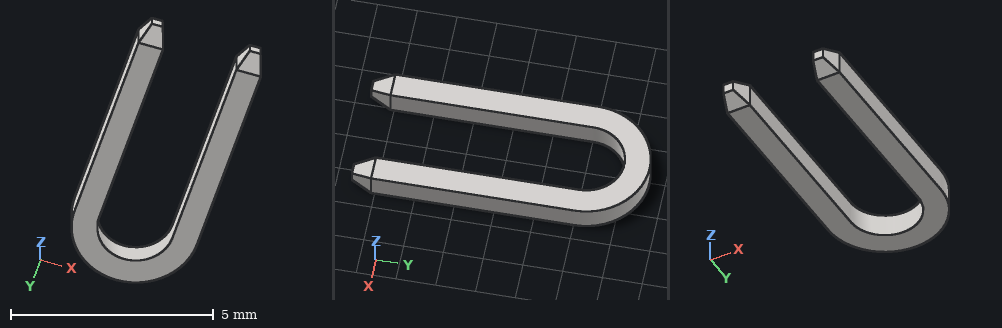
import cadquery as cq

wire = 0.64
pitch = 2.54
total_length = 7.22
taper_length = 0.52
tip_width = 0.28

leg_x = pitch / 2
outer_radius = leg_x + wire / 2
inner_radius = leg_x - wire / 2
leg_length = total_length - outer_radius - taper_length


def make_wire_body():
    """Half-ring bend and both straight legs, centred on Z = 0."""
    return (
        cq.Workplane("XY")
        .workplane(offset=-wire / 2)
        .moveTo(-outer_radius, -leg_length)
        .lineTo(-outer_radius, 0)
        .threePointArc((0, outer_radius), (outer_radius, 0))
        .lineTo(outer_radius, -leg_length)
        .lineTo(inner_radius, -leg_length)
        .lineTo(inner_radius, 0)
        .threePointArc((0, inner_radius), (-inner_radius, 0))
        .lineTo(-inner_radius, -leg_length)
        .close()
        .extrude(wire)
    )


def make_tip(center_x):
    """Truncated pyramid that narrows from the leg end towards -Y."""
    return (
        cq.Workplane("XZ", origin=(center_x, -leg_length, 0))
        .rect(wire, wire)
        .workplane(offset=taper_length)
        .rect(tip_width, tip_width)
        .loft(ruled=True)
    )


result = make_wire_body()
for center_x in (-leg_x, leg_x):
    result = result.union(make_tip(center_x))